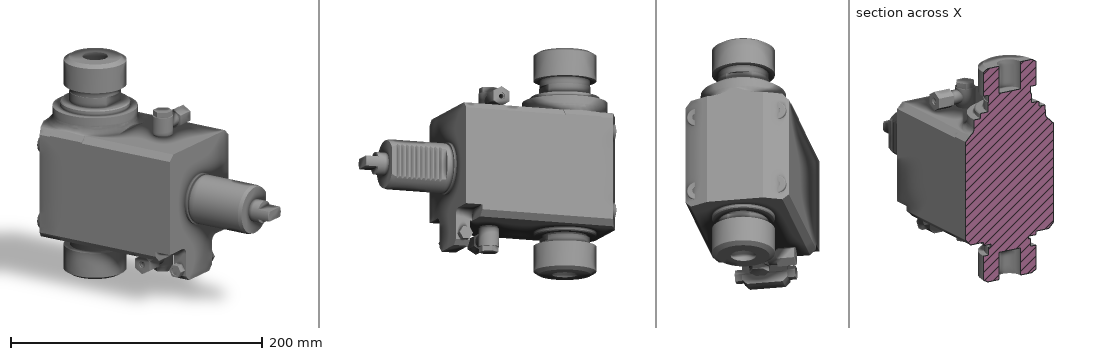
import cadquery as cq
import math


HOUSING_FRONT = -34.0
HOUSING_BACK = 99.5
HOUSING_WIDTH = 84.0
HOUSING_TOP = 47.0
HOUSING_BOTTOM = -45.0
HALF_WIDTH = HOUSING_WIDTH / 2
LONG_EDGE_CHAMFER = 5.0
FRONT_CHAMFER_X = 8.9
FRONT_CHAMFER_Y = 19.4

FLANGE_RADIUS = 34.0
FLANGE_TOP = 60.2
FLARE_RADIUS = 6.0
FLARE_BACK = 35.2
PAD_HALF_LENGTH = 15.2
PAD_CHAMFER = 4.1
ROOF_MARGIN = 2.0

SPINDLE_TOP = 101.0
SPINDLE_BOTTOM = -79.1
NUT_RADIUS = 25.1
NUT_HEIGHT = 22.9
NUT_CHAMFER_RADIAL = 4.1
NUT_CHAMFER_AXIAL = 2.5
NUT_BORE_RADIUS = 10.0
COVER_RADIUS = 28.0
COVER_TOP = 64.5
COVER_CHAMFER = 0.8
COLLAR_RADIUS = 20.2
FLAT_DISTANCE = 18.0
UPPER_NECK_RADIUS = 20.8
UPPER_NECK_TOP = 72.5
LOWER_RING_BOTTOM = -47.8
LOWER_RING_CHAMFER = 0.8
LOWER_NECK_RADIUS = 18.1
LOWER_NECK_BOTTOM = -49.6
LOWER_FLATS_BOTTOM = -54.0

SHANK_RADIUS = 20.0
SHANK_END = 152.9
SHANK_END_CHAMFER = 0.8
SHANK_END_CHAMFER_LENGTH = 3.0
SEAL_RADIUS = 20.8
SEAL_LENGTH = 2.0
GROOVE_RADIUS = 19.2
GROOVE_LENGTH = 1.9
TOOTH_FLAT_Y = 15.7
TOOTH_FLAT_START = 107.0
TOOTH_COUNT = 10
FIRST_TOOTH_X = 111.5
LAST_TOOTH_X = 147.5
TOOTH_PITCH = (LAST_TOOTH_X - FIRST_TOOTH_X) / (TOOTH_COUNT - 1)
TOOTH_DEPTH = 1.5
PILOT_RADIUS = 9.0
PILOT_END = 161.5
TANG_END = 172.0
TANG_THICKNESS = 8.2
TANG_CHAMFER = 0.6

SCREW_RADIUS = 7.6
SCREW_SOCKET_RADIUS = 3.0
SCREW_FACE_X = -29.0
SCREW_HEAD_LENGTH = 8.2
SCREW_EDGE_FILLET = 0.8
SCREW_Y = 32.5
SCREW_Z = 32.0

FITTING_X = 64.7
FITTING_RADIUS = 8.2
FITTING_HEIGHT = 16.3
FITTING_FOOT_RADIUS = 7.5
FITTING_FOOT_HEIGHT = 1.5
FITTING_HEX_FLATS = 13.8
FITTING_CAP_HEIGHT = 4.3
ELBOW_HEIGHT = 9.0
ELBOW_RADIUS = 5.8
ELBOW_HEX_START = 15.0
ELBOW_HEX_END = 29.5
ELBOW_BORE_RADIUS = 1.9
ELBOW_SEAT_RADIUS = 2.9
ELBOW_SEAT_DEPTH = 1.0

NOTCH_START = 85.7
NOTCH_TOP = -36.0
NOTCH_FILLET = 5.5
BRACKET_START = 87.5
BRACKET_HALF_WIDTH = 18.5
BRACKET_BOTTOM = -64.7
BRACKET_CHAMFER = 4.1
BOLT_X = 92.7
BOLT_Z = -55.8
BOLT_HEX_CORNERS = 11.1
BOLT_HALF_LENGTH = 24.5
BOLT_TIP_RADIUS = 3.3
BOLT_TIP_DEPTH = 0.8


def cylinder_z(radius, bottom, top):
    return cq.Workplane("XY", origin=(0, 0, bottom)).circle(radius).extrude(top - bottom)


def cylinder_x(radius, start, end):
    return cq.Workplane("YZ", origin=(start, 0, 0)).circle(radius).extrude(end - start)


def cylinder_y(radius, start, end, x, z):
    return cq.Workplane("XZ", origin=(x, start, z)).circle(radius).extrude(start - end)


def box(x_range, y_range, z_range):
    corner = (x_range[0], y_range[0], z_range[0])
    lengths = [high - low for low, high in (x_range, y_range, z_range)]
    return cq.Workplane("XY", origin=corner).box(*lengths, centered=False)


def housing():
    full_height = HOUSING_TOP - HOUSING_BOTTOM
    front_half_width = HALF_WIDTH - FRONT_CHAMFER_Y
    chamfer_back = HOUSING_FRONT + FRONT_CHAMFER_X
    plan = [
        (HOUSING_FRONT, -front_half_width),
        (chamfer_back, -HALF_WIDTH),
        (HOUSING_BACK, -HALF_WIDTH),
        (HOUSING_BACK, HALF_WIDTH),
        (chamfer_back, HALF_WIDTH),
        (HOUSING_FRONT, front_half_width),
    ]
    block = cq.Workplane("XY", origin=(0, 0, HOUSING_BOTTOM)).polyline(plan).close().extrude(full_height)
    section = box(
        (HOUSING_FRONT, HOUSING_BACK), (-HALF_WIDTH, HALF_WIDTH), (HOUSING_BOTTOM, HOUSING_TOP)
    ).edges("|X").chamfer(LONG_EDGE_CHAMFER)
    return block.intersect(section)


def flange():
    base_radius = FLANGE_RADIUS + FLARE_RADIUS
    flare_top = HOUSING_TOP + FLARE_RADIUS
    arc_offset = FLARE_RADIUS * math.sqrt(0.5)
    solid = (
        cq.Workplane("XZ")
        .moveTo(0, HOUSING_TOP - LONG_EDGE_CHAMFER)
        .lineTo(base_radius, HOUSING_TOP - LONG_EDGE_CHAMFER)
        .lineTo(base_radius, HOUSING_TOP)
        .threePointArc((base_radius - arc_offset, flare_top - arc_offset), (FLANGE_RADIUS, flare_top))
        .lineTo(FLANGE_RADIUS, FLANGE_TOP)
        .lineTo(0, FLANGE_TOP)
        .close()
        .revolve(360, (0, 0), (0, 1))
    )
    eave = HOUSING_TOP - PAD_CHAMFER
    ridge_half = FLANGE_RADIUS + ROOF_MARGIN
    ridge = eave + HALF_WIDTH - ridge_half
    base = HOUSING_TOP - 2 * LONG_EDGE_CHAMFER
    roof = (
        cq.Workplane("YZ", origin=(HOUSING_FRONT, 0, 0))
        .polyline([
            (-HALF_WIDTH, base),
            (HALF_WIDTH, base),
            (HALF_WIDTH, eave),
            (ridge_half, ridge),
            (ridge_half, FLANGE_TOP),
            (-ridge_half, FLANGE_TOP),
            (-ridge_half, ridge),
            (-HALF_WIDTH, eave),
        ])
        .close()
        .extrude(FLARE_BACK - HOUSING_FRONT)
    )
    pads = box(
        (-PAD_HALF_LENGTH, PAD_HALF_LENGTH), (-HALF_WIDTH, HALF_WIDTH), (base, HOUSING_TOP)
    ).edges("|X and >Z").chamfer(PAD_CHAMFER)
    return solid.intersect(roof).union(pads)


def nut(outer_end, inner_end):
    """Clamping nut with a conical rim at its outer end and a bore through it."""
    direction = math.copysign(1, outer_end)
    rim = outer_end - direction * NUT_CHAMFER_AXIAL
    return (
        cq.Workplane("XZ")
        .polyline([
            (NUT_BORE_RADIUS, outer_end),
            (NUT_RADIUS - NUT_CHAMFER_RADIAL, outer_end),
            (NUT_RADIUS, rim),
            (NUT_RADIUS, inner_end),
            (NUT_BORE_RADIUS, inner_end),
        ])
        .close()
        .revolve(360, (0, 0), (0, 1))
    )


def flatted_neck(radius, bottom, top):
    """Round neck with two wrench flats facing -X and +X."""
    sides = box((-FLAT_DISTANCE, FLAT_DISTANCE), (-radius, radius), (bottom, top))
    return cylinder_z(radius, bottom, top).intersect(sides)


def spindle():
    nut_bottom = SPINDLE_TOP - NUT_HEIGHT
    lower_nut_top = SPINDLE_BOTTOM + NUT_HEIGHT
    cover = cylinder_z(COVER_RADIUS, FLANGE_TOP, COVER_TOP).faces(">Z").edges().chamfer(COVER_CHAMFER)
    upper_neck = flatted_neck(UPPER_NECK_RADIUS, COVER_TOP, UPPER_NECK_TOP)
    upper_collar = cylinder_z(COLLAR_RADIUS, UPPER_NECK_TOP, nut_bottom)
    lower_ring = cylinder_z(NUT_RADIUS, LOWER_RING_BOTTOM, HOUSING_BOTTOM)
    lower_ring = lower_ring.faces("<Z").edges().chamfer(LOWER_RING_CHAMFER)
    lower_neck = cylinder_z(LOWER_NECK_RADIUS, LOWER_NECK_BOTTOM, LOWER_RING_BOTTOM)
    lower_flats = flatted_neck(COLLAR_RADIUS, LOWER_FLATS_BOTTOM, LOWER_NECK_BOTTOM)
    lower_collar = cylinder_z(COLLAR_RADIUS, lower_nut_top, LOWER_FLATS_BOTTOM)
    parts = [
        upper_neck, upper_collar, nut(SPINDLE_TOP, nut_bottom), lower_ring, lower_neck,
        lower_flats, lower_collar, nut(SPINDLE_BOTTOM, lower_nut_top),
    ]
    solid = cover
    for part in parts:
        solid = solid.union(part)
    return solid


def shank():
    groove_start = HOUSING_BACK + SEAL_LENGTH
    groove_end = groove_start + GROOVE_LENGTH
    body = (
        cq.Workplane("XY")
        .polyline([
            (HOUSING_BACK, 0),
            (HOUSING_BACK, SEAL_RADIUS),
            (groove_start, SEAL_RADIUS),
            (groove_start, GROOVE_RADIUS),
            (groove_end, SHANK_RADIUS),
            (SHANK_END - SHANK_END_CHAMFER_LENGTH, SHANK_RADIUS),
            (SHANK_END, SHANK_RADIUS - SHANK_END_CHAMFER),
            (SHANK_END, 0),
        ])
        .close()
        .revolve(360, (0, 0), (1, 0))
    )
    span_z = (-SHANK_RADIUS, SHANK_RADIUS)
    body = body.cut(box((TOOTH_FLAT_START, SHANK_END), (TOOTH_FLAT_Y, SEAL_RADIUS), span_z))
    for index in range(TOOTH_COUNT):
        x = FIRST_TOOTH_X + index * TOOTH_PITCH
        groove = (
            cq.Workplane("XY", origin=(x, TOOTH_FLAT_Y, 0))
            .polyline([(-TOOTH_DEPTH, 0), (0, -TOOTH_DEPTH), (TOOTH_DEPTH, 0)])
            .close()
            .extrude(SHANK_RADIUS, both=True)
        )
        body = body.cut(groove)
    pilot = cylinder_x(PILOT_RADIUS, SHANK_END, PILOT_END)
    tang = cylinder_x(PILOT_RADIUS, PILOT_END, TANG_END).faces(">X").edges().chamfer(TANG_CHAMFER)
    half = TANG_THICKNESS / 2
    tang = tang.intersect(
        box((PILOT_END, TANG_END), (-PILOT_RADIUS, PILOT_RADIUS), (-half, half))
    )
    return body.union(pilot).union(tang)


def screw_heads():
    return (
        cq.Workplane("YZ", origin=(SCREW_FACE_X, 0, 0))
        .rect(2 * SCREW_Y, 2 * SCREW_Z, forConstruction=True)
        .vertices()
        .circle(SCREW_RADIUS)
        .circle(SCREW_SOCKET_RADIUS)
        .extrude(SCREW_HEAD_LENGTH)
        .faces("<X")
        .edges(cq.selectors.RadiusNthSelector(-1))
        .fillet(SCREW_EDGE_FILLET)
    )


def elbow_fitting():
    """Elbow standing on the plane Z = 0, with its outlet pointing to -Y."""
    corners = FITTING_HEX_FLATS / math.cos(math.pi / 6)
    foot = cylinder_z(FITTING_FOOT_RADIUS, 0, FITTING_FOOT_HEIGHT)
    post = cylinder_z(FITTING_RADIUS, FITTING_FOOT_HEIGHT, FITTING_HEIGHT)
    cap = (
        cq.Workplane("XY", origin=(0, 0, FITTING_HEIGHT))
        .transformed(rotate=(0, 0, 90))
        .polygon(6, corners)
        .extrude(FITTING_CAP_HEIGHT)
    )
    pipe = cylinder_y(ELBOW_RADIUS, 0, -ELBOW_HEX_START, 0, ELBOW_HEIGHT)
    outlet = (
        cq.Workplane("XZ", origin=(0, -ELBOW_HEX_START, ELBOW_HEIGHT))
        .transformed(rotate=(0, 0, 90))
        .polygon(6, corners)
        .extrude(ELBOW_HEX_END - ELBOW_HEX_START)
    )
    bore = cylinder_y(ELBOW_BORE_RADIUS, 0, -ELBOW_HEX_END, 0, ELBOW_HEIGHT)
    seat_start = ELBOW_SEAT_DEPTH - ELBOW_HEX_END
    seat = cylinder_y(ELBOW_SEAT_RADIUS, seat_start, -ELBOW_HEX_END, 0, ELBOW_HEIGHT)
    return foot.union(post).union(cap).union(pipe).union(outlet).cut(bore).cut(seat)


def fittings():
    lower = elbow_fitting().mirror("XY").translate((FITTING_X, 0, HOUSING_BOTTOM))
    upper = elbow_fitting().mirror("XZ").translate((FITTING_X, 0, HOUSING_TOP))
    return lower.union(upper)


def rear_notches():
    """Side cutouts above the bracket, with a rounded inner corner."""
    depth = HALF_WIDTH - BRACKET_HALF_WIDTH
    far_side = (
        box(
            (NOTCH_START, HOUSING_BACK),
            (BRACKET_HALF_WIDTH, HALF_WIDTH),
            (NOTCH_TOP - 2 * depth, NOTCH_TOP),
        )
        .edges("|X and >Z and <Y")
        .fillet(NOTCH_FILLET)
    )
    return far_side.union(far_side.mirror("XZ"))


def bracket():
    block = box(
        (BRACKET_START, HOUSING_BACK),
        (-BRACKET_HALF_WIDTH, BRACKET_HALF_WIDTH),
        (BRACKET_BOTTOM, HOUSING_BOTTOM),
    ).edges("|X and <Z").chamfer(BRACKET_CHAMFER)
    bolt = (
        cq.Workplane("XZ", origin=(BOLT_X, 0, BOLT_Z))
        .polygon(6, BOLT_HEX_CORNERS)
        .extrude(BOLT_HALF_LENGTH, both=True)
    )
    recess = cylinder_y(
        BOLT_TIP_RADIUS, BOLT_TIP_DEPTH - BOLT_HALF_LENGTH, -BOLT_HALF_LENGTH, BOLT_X, BOLT_Z
    )
    return block.union(bolt).cut(recess)


result = housing().cut(rear_notches())
for feature in (flange(), spindle(), shank(), screw_heads(), fittings(), bracket()):
    result = result.union(feature)